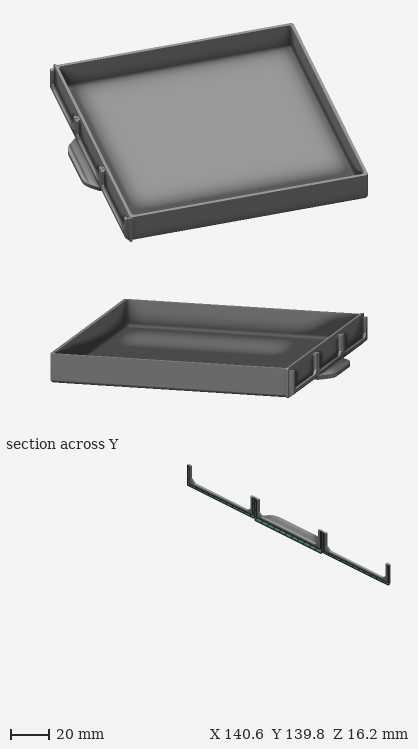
import cadquery as cq

plate_width = 140.6
plate_height = 16.2
plate_thickness = 1.1
plate_corner = 1.1
total_depth = 139.8
tray_width = 138.4
tray_height = 15.6
edge_radius = 1.7
cavity_radius = 2.0
wall = 1.7
floor_thickness = 1.3

holder_count = 3
holder_span = 137.2
holder_gap = 0.5
holder_depth = 2.4
holder_top = 14.5
slot_depth = 1.1
slot_wall = 1.1
slot_floor = 2.8
window_border = 2.4
window_bottom = 4.0
window_corner = 2.2

tab_reach = 6.9
tab_thickness = 2.2
tab_corner_radius = 9.5
ridge_width = 2.8
ridge_peak_height = 3.5

ridge_rise = ridge_peak_height - tab_thickness
holder_front = tab_reach
plate_front = holder_front + holder_depth
plate_back = plate_front + plate_thickness
holder_width = (holder_span - (holder_count - 1) * holder_gap) / holder_count
holder_pitch = holder_width + holder_gap


def block(width, y_start, y_end, z_start, z_end):
    """Box centred on X, spanning the given Y and Z ranges."""
    return (
        cq.Workplane("XY")
        .box(width, y_end - y_start, z_end - z_start, centered=(True, False, False))
        .translate((0, y_start, z_start))
    )


def make_tray():
    """Open tray with rounded outer and inner edges, closed by the front plate."""
    outer = block(tray_width, plate_front, total_depth, 0, tray_height)
    outer = outer.edges("|Z and >Y").fillet(edge_radius)
    outer = outer.faces("<Z").edges("not <Y").fillet(edge_radius)
    plate = block(plate_width, plate_front, plate_back, 0, plate_height)
    plate = plate.edges("|Y").fillet(plate_corner)
    cavity = block(
        tray_width - 2 * wall, plate_front + wall, total_depth - wall, floor_thickness, plate_height
    )
    cavity = cavity.edges("|Z or <Z").fillet(cavity_radius)
    return outer.union(plate).cut(cavity)


def make_holder():
    """U-shaped label holder, open at the top, with a 45 degree underside."""
    body = (
        cq.Workplane("YZ")
        .moveTo(plate_front, 0)
        .lineTo(holder_front, holder_depth)
        .lineTo(holder_front, holder_top)
        .lineTo(plate_front, holder_top)
        .close()
        .extrude(holder_width / 2, both=True)
    )
    slot = block(
        holder_width - 2 * slot_wall, plate_front - slot_depth, plate_front, slot_floor, holder_top
    )
    window = block(
        holder_width - 2 * window_border, holder_front, plate_front, window_bottom, holder_top
    )
    window = window.edges("|Y and <Z").chamfer(window_corner)
    return body.cut(slot).cut(window)


def make_tab():
    """Pull tab with 45 degree sides, rounded front corners and a ridge bevelled along the rim."""
    half_width = holder_width / 2
    tip_half_width = half_width - tab_reach
    outline = (
        cq.Workplane("XY")
        .polyline(
            [
                (-half_width, plate_front),
                (-half_width, holder_front),
                (-tip_half_width, 0),
                (tip_half_width, 0),
                (half_width, holder_front),
                (half_width, plate_front),
            ]
        )
        .close()
        .extrude(ridge_peak_height)
        .faces("<Y")
        .edges("|Z")
        .fillet(tab_corner_radius)
        .faces(">Z")
        .chamfer(ridge_rise)
    )
    profile = (
        cq.Workplane("YZ")
        .polyline(
            [
                (0, 0),
                (plate_front, 0),
                (plate_front, tab_thickness),
                (ridge_width, tab_thickness),
                (ridge_rise, ridge_peak_height),
                (0, ridge_peak_height),
            ]
        )
        .close()
        .extrude(half_width, both=True)
    )
    return outline.intersect(profile)


result = make_tray()
for index in range(holder_count):
    offset = (index - (holder_count - 1) / 2) * holder_pitch
    result = result.union(make_holder().translate((offset, 0, 0)))
result = result.union(make_tab())